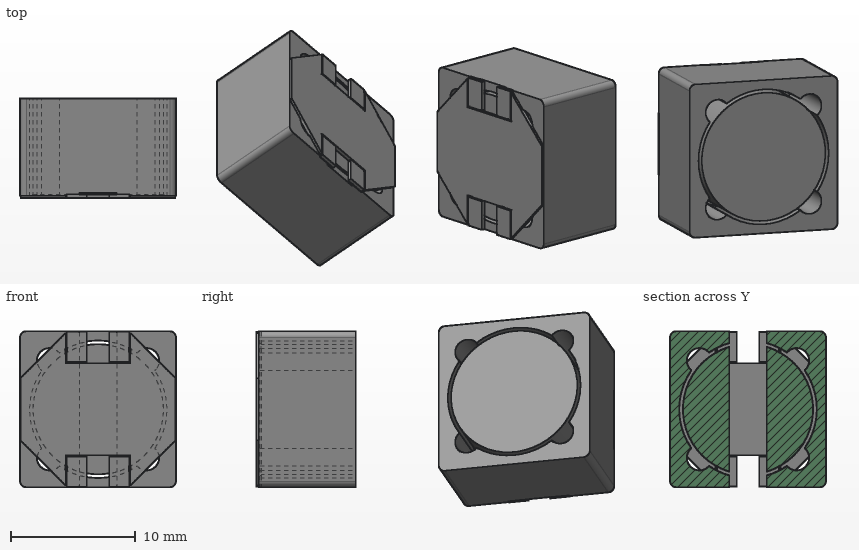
import cadquery as cq
import math


width = 12.5
depth = 8.0
mounting_y = -depth / 2
back_y = depth / 2

shield_standoff = 0.2
shield_y = mounting_y + shield_standoff
shield_corner_radius = 0.5
bore_radius = 5.5
lobe_radius = 1.0

core_radius = 5.22

plate_thickness = 0.3
plate_back_y = mounting_y + plate_thickness
plate_width = 12.4
plate_flat = 5.0
plate_chamfer = (plate_width - plate_flat) / 2

terminal_width = 1.6
terminal_height = 2.4
terminal_spacing = 3.4
terminal_clearance = 0.1
terminal_span = terminal_spacing + terminal_width
terminal_z = (plate_width - terminal_height) / 2
notch_width = terminal_span + 2 * terminal_clearance
notch_floor_z = plate_width / 2 - terminal_height - terminal_clearance

channel_width = 3.0
channel_depth = 0.1
channel_back_y = plate_back_y + channel_depth


def slab(size_x, size_z, front_y, rear_y, x=0.0, z=0.0):
    """Block between two Y planes, centred at (x, z)."""
    center = (x, (front_y + rear_y) / 2, z)
    return cq.Workplane("XY").box(size_x, rear_y - front_y, size_z).translate(center)


def rod(radius, front_y, rear_y, x=0.0, z=0.0):
    """Cylinder along Y between two Y planes."""
    axis_start = cq.Vector(x, front_y, z)
    return cq.Workplane(cq.Solid.makeCylinder(radius, rear_y - front_y, axis_start, cq.Vector(0, 1, 0)))


def make_shield():
    """Square sleeve with a round bore, corner lobes and a recess for the terminals."""
    shield = slab(width, width, shield_y, back_y).edges("|Y").fillet(shield_corner_radius)
    shield = shield.cut(rod(bore_radius, shield_y, back_y))
    lobe_offset = bore_radius * math.sqrt(0.5)
    for side_x in (-1, 1):
        for side_z in (-1, 1):
            lobe = rod(lobe_radius, shield_y, back_y, side_x * lobe_offset, side_z * lobe_offset)
            shield = shield.cut(lobe)
    return shield.cut(slab(terminal_span, width, shield_y, plate_back_y))


def make_core():
    """Round core, seated on the back of the base plate."""
    return rod(core_radius, plate_back_y, back_y)


def make_plate():
    """Octagonal base plate with a terminal notch at the top and bottom."""
    plate = slab(plate_width, plate_width, mounting_y, plate_back_y)
    plate = plate.edges("|Y").chamfer(plate_chamfer)
    notch_height = width / 2 - notch_floor_z
    notch_z = notch_floor_z + notch_height / 2
    for side_z in (-1, 1):
        notch = slab(notch_width, notch_height, mounting_y, plate_back_y, z=side_z * notch_z)
        plate = plate.cut(notch)
    return plate


def add_terminals(body):
    """Add a pair of flat terminals in each notch."""
    for side_x in (-1, 1):
        for side_z in (-1, 1):
            x = side_x * terminal_spacing / 2
            z = side_z * terminal_z
            terminal = slab(terminal_width, terminal_height, mounting_y, plate_back_y, x, z)
            body = body.union(terminal)
    return body


wire_channel = slab(channel_width, width, plate_back_y, channel_back_y)
magnetic_body = make_shield().union(make_core()).cut(wire_channel)
result = add_terminals(magnetic_body.union(make_plate()))